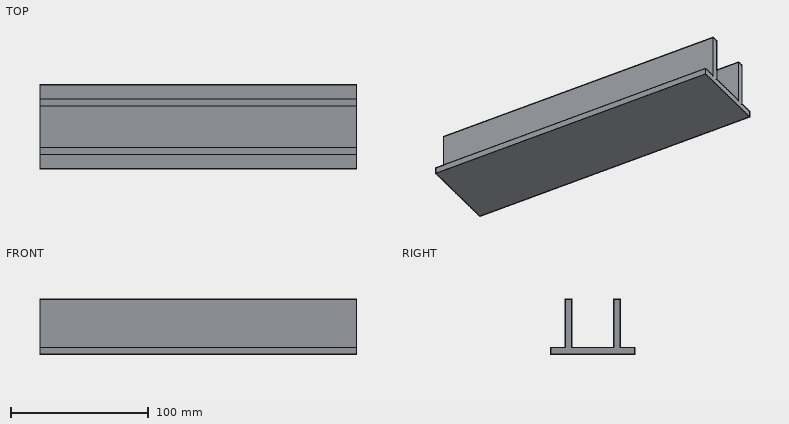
import cadquery as cq

length = 230.0
base_width = 61.2
height = 40.0
base_thickness = 5.0
wall_thickness = 5.0
flange_width = 10.5

wall_offset = base_width / 2 - flange_width - wall_thickness / 2


def make_base():
    """Flat base strip resting on Z = 0."""
    return cq.Workplane("XY").box(length, base_width, base_thickness, centered=(True, True, False))


def make_wall(side):
    """Upright wall on the given side of the centre plane (-1 or +1)."""
    wall = cq.Workplane("XY").box(length, wall_thickness, height, centered=(True, True, False))
    return wall.translate((0, side * wall_offset, 0))


result = make_base()
for side in (-1, 1):
    result = result.union(make_wall(side))